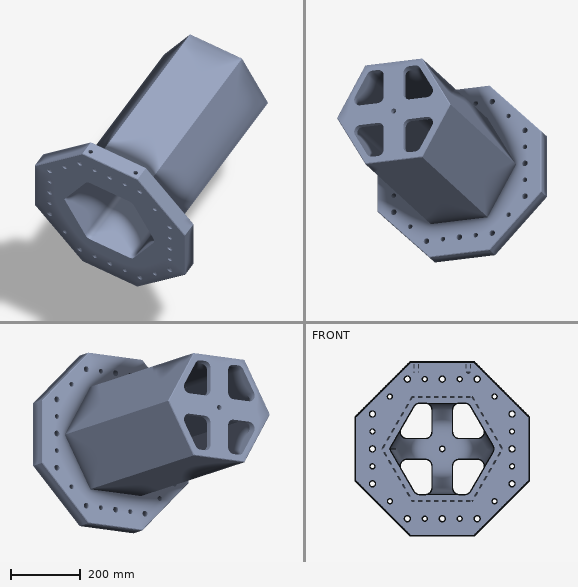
import cadquery as cq
import math

length = 600.0
flange_width = 1500 / 3
flange_thick = 300 / 6
flat_half = 92.0
flange_chamfer = 2.0

tube_across_flats = 300.0
wall = 19.0
floor_thick = wall
tube_chamfer = flange_chamfer
bore_radius = 20.0
bore_across_flats = tube_across_flats - 2 * wall
bore_depth = length - floor_thick

arm_half = 30.0
window_radius = 18.5
center_hole_dia = 15.0

bolt_pitch = 300 / 6
bolt_row = 4 * bolt_pitch
corner_bolt = 3 * bolt_pitch
large_hole_dia = 17.0
small_hole_dia = 14.0

lift_hole_dia = 13.0
lift_hole_depth = 30.0
lift_hole_x = 75.0
lift_hole_y = 19.0
drill_point_angle = 118.0


def section(y):
    """Workplane across the axis at the given Y; extrusions run toward +Y."""
    return cq.Workplane(cq.Plane((0, y, 0), (1, 0, 0), (0, 1, 0)))


def hexagon(across_flats):
    """Corner points of a hexagon with flats square to Z, in section coordinates."""
    corner_radius = across_flats / math.sqrt(3)
    turns = [math.radians(60 * i) for i in range(6)]
    return [(corner_radius * math.cos(a), corner_radius * math.sin(a)) for a in turns]


def make_flange():
    half = flange_width / 2
    outline = [
        (half, flat_half), (flat_half, half), (-flat_half, half), (-half, flat_half),
        (-half, -flat_half), (-flat_half, -half), (flat_half, -half), (half, -flat_half),
    ]
    plate = section(0).polyline(outline).close().extrude(flange_thick)
    return plate.faces("<Y or >Y").edges().chamfer(flange_chamfer)


def make_tube():
    tube = section(0).polyline(hexagon(tube_across_flats)).close().extrude(length)
    return tube.faces(">Y").edges().chamfer(tube_chamfer)


def make_bore():
    """Bore with rounded corners and floor; only the corner on the -X side stays sharp."""
    bore = section(0).polyline(hexagon(bore_across_flats)).close().extrude(bore_depth)
    bore = bore.edges("|Y exc <X").fillet(bore_radius)
    return bore.faces(">Y").edges().fillet(bore_radius)


def make_windows():
    """List of four mirrored openings bounded by the arms and the bore walls."""
    top = bore_across_flats / 2
    corner_x = top / math.sqrt(3)
    slope_x = (bore_across_flats - arm_half) / math.sqrt(3)
    outline = [(arm_half, arm_half), (slope_x, arm_half), (corner_x, top), (arm_half, top)]
    window = section(length / 2).polyline(outline).close().extrude(length / 2)
    window = window.edges("|Y").fillet(window_radius)
    mirrored = window.mirror("YZ")
    return [window, mirrored, window.mirror("XY"), mirrored.mirror("XY")]


def drill(points, diameter, depth):
    return section(0).pushPoints(points).circle(diameter / 2).extrude(depth)


def make_bolt_holes():
    large = []
    small = [(sx * corner_bolt, sz * corner_bolt) for sx in (-1, 1) for sz in (-1, 1)]
    for side in (-bolt_row, bolt_row):
        for step in (-2, 0, 2):
            large += [(step * bolt_pitch, side), (side, step * bolt_pitch)]
        for step in (-1, 1):
            small += [(step * bolt_pitch, side), (side, step * bolt_pitch)]
    large_holes = drill(large, large_hole_dia, flange_thick)
    return large_holes.union(drill(small, small_hole_dia, flange_thick))


def make_lift_hole(x):
    """Drilled hole going down from the top side, ending in a drill point."""
    radius = lift_hole_dia / 2
    point = radius / math.tan(math.radians(drill_point_angle / 2))
    profile = [(0, 0), (radius, 0), (radius, -lift_hole_depth), (0, -lift_hole_depth - point)]
    hole = cq.Workplane("XZ").polyline(profile).close().revolve(360, (0, 0), (0, 1))
    return hole.translate((x, lift_hole_y, flange_width / 2))


result = make_flange().union(make_tube()).cut(make_bore())
for window in make_windows():
    result = result.cut(window)
result = result.cut(drill([(0, 0)], center_hole_dia, length))
result = result.cut(make_bolt_holes())
for side in (-1, 1):
    result = result.cut(make_lift_hole(side * lift_hole_x))